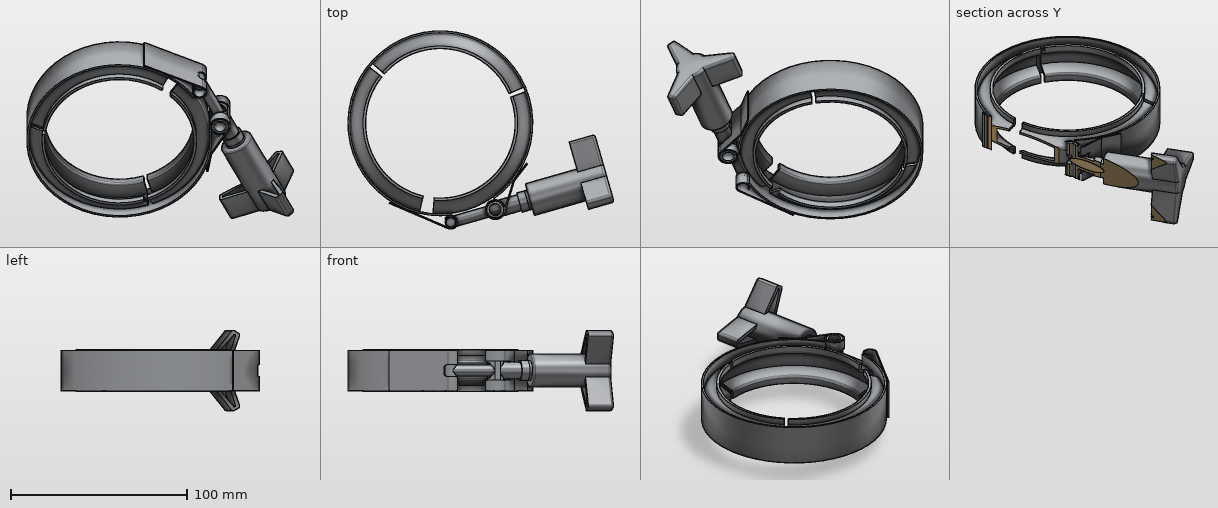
import cadquery as cq
import math

BAND_OUTER_RADIUS = 52.5
BAND_THICKNESS = 1.0
BAND_HALF_HEIGHT = 11.5
BAND_START_ANGLE = -54.5
BAND_END_ANGLE = 277.3

SEGMENT_COUNT = 3
SEGMENT_SPAN = 115.2
SEGMENT_GAP = 3.0
SEGMENT_MIDDLE_ANGLE = 81.0
SEGMENT_OUTER_RADIUS = BAND_OUTER_RADIUS - BAND_THICKNESS
SEGMENT_THICKNESS = 1.5
LIP_INNER_RADIUS = 42.4
LIP_HALF_HEIGHT = 11.9
LIP_ROOT_HEIGHT = 8.5
FLANGE_SLOPE = 22.0
FLANGE_BEND_RADIUS = 1.5

STRAP_THICKNESS = 0.8
PIN_STRAP_TAIL_LENGTH = 8.7
TRUNNION_STRAP_TAIL_LENGTH = 12.0

PIN_POSITION = (5.9, -56.2)
BOLT_ANGLE = 16.0
TRUNNION_DISTANCE = 26.2
PIN_DIAMETER = 6.3
PIN_HALF_LENGTH = 5.5
PIN_CHAMFER = 0.6
ROD_DIAMETER = 6.3
ROD_LENGTH = 63.4
ROD_SLOT_HEIGHT = 6.8
ROD_SLOT_START = -4.2
ROD_SLOT_CORNER_RADIUS = 1.8
PIN_LOOP_OPEN_ANGLE = 150.0

TRUNNION_DIAMETER = 9.5
TRUNNION_LOOP_BORE = 9.8
TRUNNION_BORE = 6.8
ROD_CLEARANCE_BORE = 9.0
SLEEVE_DIAMETER = TRUNNION_DIAMETER
COLLAR_DIAMETER = 11.5
TRUNNION_SLOT_HEIGHT = 10.9
TRUNNION_SLOT_REACH = 5.5
TRUNNION_STRAP_BEND_ANGLE = -37.8

COLLAR_START = 40.6
BOSS_START = 45.1
KNOB_START = 46.6
WING_START = 77.1
KNOB_END = 92.3

KNOB_DIAMETER = 18.9
KNOB_FRONT_FILLET = 0.8
KNOB_END_FILLET = 1.5
WING_COUNT = 3
WING_TIP_RADIUS = 25.3
WING_ROOT_RADIUS = 6.0
WING_TIP_HALF_WIDTH = 2.5
WING_ROOT_HALF_WIDTH = 5.9
WING_TIP_FILLET = 1.5
POCKET_TIP_RADIUS = 23.5
POCKET_TIP_HALF_WIDTH = 0.5
POCKET_ROOT_HALF_WIDTH = 4.0
POCKET_DEPTH = 11.8


def polar(radius, angle):
    """Point at the given radius and angle in degrees."""
    return (radius * math.cos(math.radians(angle)), radius * math.sin(math.radians(angle)))


def moved(point, radius, angle):
    """Point reached from another point by a step of the given length and direction."""
    step = polar(radius, angle)
    return (point[0] + step[0], point[1] + step[1])


def sector(outer_radius, inner_radius, start_angle, end_angle, half_height, center=(0, 0)):
    """Ring sector about a vertical axis, from one angle to a larger one."""
    middle_angle = (start_angle + end_angle) / 2
    return (
        cq.Workplane("XY", origin=(center[0], center[1], -half_height))
        .moveTo(*polar(outer_radius, start_angle))
        .threePointArc(polar(outer_radius, middle_angle), polar(outer_radius, end_angle))
        .lineTo(*polar(inner_radius, end_angle))
        .threePointArc(polar(inner_radius, middle_angle), polar(inner_radius, start_angle))
        .close()
        .extrude(2 * half_height)
    )


def strap_leg(start, end):
    """Flat length of strap whose middle line joins two points."""
    length = math.hypot(end[0] - start[0], end[1] - start[1])
    angle = math.degrees(math.atan2(end[1] - start[1], end[0] - start[0]))
    return (
        cq.Workplane("XY")
        .box(length, STRAP_THICKNESS, 2 * BAND_HALF_HEIGHT)
        .rotate((0, 0, 0), (0, 0, 1), angle)
        .translate(((start[0] + end[0]) / 2, (start[1] + end[1]) / 2, 0))
    )


def along_bolt(shape):
    """Turn a shape built along +X from the origin onto the bolt axis, starting at the hinge pin."""
    return shape.rotate((0, 0, 0), (0, 0, 1), BOLT_ANGLE).translate((*PIN_POSITION, 0))


def rod(diameter, start, end):
    """Round bar along +X between two distances."""
    return cq.Workplane("YZ", origin=(start, 0, 0)).circle(diameter / 2).extrude(end - start)


def upright(diameter, half_length, distance):
    """Vertical bar, centred on Z = 0, crossing the bolt axis at a distance."""
    return cq.Workplane("XY", origin=(distance, 0, -half_length)).circle(diameter / 2).extrude(2 * half_length)


TRUNNION_POSITION = moved(PIN_POSITION, TRUNNION_DISTANCE, BOLT_ANGLE)
STRAP_MIDDLE_RADIUS = BAND_OUTER_RADIUS + STRAP_THICKNESS / 2


def make_band():
    return sector(
        BAND_OUTER_RADIUS, SEGMENT_OUTER_RADIUS, BAND_START_ANGLE, BAND_END_ANGLE, BAND_HALF_HEIGHT
    )


def segment_profile():
    """Radial section: upright outer wall, two sloping flanges and two upright inner lips."""
    slope = math.tan(math.radians(FLANGE_SLOPE))
    lip_outer_radius = LIP_INNER_RADIUS + SEGMENT_THICKNESS
    wall_inner_radius = SEGMENT_OUTER_RADIUS - SEGMENT_THICKNESS
    flange_drop = SEGMENT_THICKNESS / math.cos(math.radians(FLANGE_SLOPE))
    inner_root_height = LIP_ROOT_HEIGHT - flange_drop
    upper_half = [
        (SEGMENT_OUTER_RADIUS, LIP_ROOT_HEIGHT - slope * (SEGMENT_OUTER_RADIUS - lip_outer_radius)),
        (lip_outer_radius, LIP_ROOT_HEIGHT),
        (lip_outer_radius, LIP_HALF_HEIGHT),
        (LIP_INNER_RADIUS, LIP_HALF_HEIGHT),
        (LIP_INNER_RADIUS, inner_root_height + slope * SEGMENT_THICKNESS),
        (wall_inner_radius, inner_root_height - slope * (wall_inner_radius - lip_outer_radius)),
    ]
    lower_half = [(radius, -height) for radius, height in reversed(upper_half)]
    return upper_half + lower_half


def make_segment(middle_angle):
    blank = (
        cq.Workplane("XZ")
        .polyline(segment_profile())
        .close()
        .revolve(SEGMENT_SPAN, (0, 0, 0), (0, 1, 0))
    )
    low = LIP_INNER_RADIUS - SEGMENT_THICKNESS
    outer_corners = [
        edge
        for edge in blank.edges("%CIRCLE").vals()
        if edge.radius() > SEGMENT_OUTER_RADIUS - SEGMENT_THICKNESS / 2
        or (low < edge.radius() < LIP_INNER_RADIUS + 0.2 and abs(edge.Center().z) < LIP_ROOT_HEIGHT)
    ]
    rounded = blank.newObject(outer_corners).fillet(FLANGE_BEND_RADIUS)
    center = rounded.val().Center()
    present_angle = math.degrees(math.atan2(center.y, center.x))
    return rounded.rotate((0, 0, 0), (0, 0, 1), middle_angle - present_angle)


def make_pin_strap():
    """Strap tangent to the band and to the hinge pin, curled round the pin."""
    pin_loop_radius = (PIN_DIAMETER + STRAP_THICKNESS) / 2
    pin_angle = math.degrees(math.atan2(PIN_POSITION[1], PIN_POSITION[0]))
    lean = math.degrees(math.acos((STRAP_MIDDLE_RADIUS - pin_loop_radius) / math.hypot(*PIN_POSITION)))
    touch_angle = pin_angle - lean
    tail_tip = moved(polar(STRAP_MIDDLE_RADIUS, touch_angle), PIN_STRAP_TAIL_LENGTH, touch_angle - 90)
    loop = sector(
        PIN_DIAMETER / 2 + STRAP_THICKNESS,
        PIN_DIAMETER / 2,
        touch_angle,
        PIN_LOOP_OPEN_ANGLE,
        BAND_HALF_HEIGHT,
        PIN_POSITION,
    )
    strap = strap_leg(tail_tip, moved(PIN_POSITION, pin_loop_radius, touch_angle)).union(loop)
    slot_length = 2 * PIN_DIAMETER
    slot = (
        cq.Workplane("XY", origin=(ROD_SLOT_START + slot_length / 2, 0, 0))
        .box(slot_length, slot_length, ROD_SLOT_HEIGHT)
        .faces("<X")
        .edges("|Y")
        .fillet(ROD_SLOT_CORNER_RADIUS)
    )
    return strap.cut(along_bolt(slot))


def make_trunnion_strap():
    """Strap with a tail tangent to the band, bent away to a closed loop round the trunnion."""
    loop_radius = (TRUNNION_LOOP_BORE + STRAP_THICKNESS) / 2
    bend = polar(STRAP_MIDDLE_RADIUS, TRUNNION_STRAP_BEND_ANGLE)
    tail_tip = moved(bend, TRUNNION_STRAP_TAIL_LENGTH, TRUNNION_STRAP_BEND_ANGLE + 90)
    to_bend = (bend[0] - TRUNNION_POSITION[0], bend[1] - TRUNNION_POSITION[1])
    bend_direction = math.degrees(math.atan2(to_bend[1], to_bend[0]))
    tangent_offset = math.degrees(math.acos(loop_radius / math.hypot(*to_bend)))
    loop_touch = moved(TRUNNION_POSITION, loop_radius, bend_direction - tangent_offset)
    bend_round = (
        cq.Workplane("XY", origin=(*bend, -BAND_HALF_HEIGHT))
        .circle(STRAP_THICKNESS / 2)
        .extrude(2 * BAND_HALF_HEIGHT)
    )
    loop = (
        cq.Workplane("XY", origin=(*TRUNNION_POSITION, -BAND_HALF_HEIGHT))
        .circle(TRUNNION_LOOP_BORE / 2 + STRAP_THICKNESS)
        .circle(TRUNNION_LOOP_BORE / 2)
        .extrude(2 * BAND_HALF_HEIGHT)
    )
    strap = strap_leg(tail_tip, bend).union(bend_round).union(strap_leg(bend, loop_touch)).union(loop)
    slot_half_length = 2 * TRUNNION_SLOT_REACH
    slot = cq.Workplane("XY", origin=(TRUNNION_DISTANCE, 0, 0)).box(
        2 * slot_half_length, 2 * TRUNNION_SLOT_REACH, TRUNNION_SLOT_HEIGHT
    )
    return strap.cut(along_bolt(slot))


def make_bolt():
    pin = upright(PIN_DIAMETER, PIN_HALF_LENGTH, 0).faces("<Z or >Z").chamfer(PIN_CHAMFER)
    return along_bolt(pin.union(rod(ROD_DIAMETER, 0, ROD_LENGTH)))


def make_trunnion():
    """Hollow cross pin with a sleeve and collar that carry the bolt rod to the knob."""
    body = (
        upright(TRUNNION_DIAMETER, BAND_HALF_HEIGHT, TRUNNION_DISTANCE)
        .union(rod(SLEEVE_DIAMETER, TRUNNION_DISTANCE, COLLAR_START))
        .union(rod(COLLAR_DIAMETER, COLLAR_START, BOSS_START))
        .cut(upright(TRUNNION_BORE, BAND_HALF_HEIGHT, TRUNNION_DISTANCE))
        .cut(rod(ROD_CLEARANCE_BORE, TRUNNION_DISTANCE - TRUNNION_DIAMETER, TRUNNION_DISTANCE))
        .cut(rod(ROD_DIAMETER, TRUNNION_DISTANCE, BOSS_START))
    )
    return along_bolt(body)


def make_wing(angle):
    """Tapered wing with a rounded tip, pointing along +Y before it is turned about the bolt axis."""
    blank = (
        cq.Workplane("YZ", origin=(WING_START, 0, 0))
        .polyline([
            (WING_ROOT_RADIUS, -WING_ROOT_HALF_WIDTH),
            (WING_TIP_RADIUS, -WING_TIP_HALF_WIDTH),
            (WING_TIP_RADIUS, WING_TIP_HALF_WIDTH),
            (WING_ROOT_RADIUS, WING_ROOT_HALF_WIDTH),
        ])
        .close()
        .extrude(KNOB_END - WING_START)
        .faces(">Y")
        .edges("|X")
        .fillet(WING_TIP_FILLET)
    )
    return blank.rotate((0, 0, 0), (1, 0, 0), angle)


def make_pocket(angle):
    """Tapered recess in the wing face that looks towards the hinge pin."""
    pocket = (
        cq.Workplane("YZ", origin=(WING_START, 0, 0))
        .polyline([
            (WING_ROOT_RADIUS, -POCKET_ROOT_HALF_WIDTH),
            (POCKET_TIP_RADIUS, -POCKET_TIP_HALF_WIDTH),
            (POCKET_TIP_RADIUS, POCKET_TIP_HALF_WIDTH),
            (WING_ROOT_RADIUS, POCKET_ROOT_HALF_WIDTH),
        ])
        .close()
        .extrude(POCKET_DEPTH)
    )
    return pocket.rotate((0, 0, 0), (1, 0, 0), angle)


def make_knob():
    wing_angles = [index * 360 / WING_COUNT for index in range(WING_COUNT)]
    hub = rod(KNOB_DIAMETER, KNOB_START, KNOB_END).faces("<X").edges().fillet(KNOB_FRONT_FILLET)
    wings = rod(KNOB_DIAMETER, WING_START, KNOB_END)
    for angle in wing_angles:
        wings = wings.union(make_wing(angle))
    wings = wings.faces(">X").edges().fillet(KNOB_END_FILLET)
    for angle in wing_angles:
        wings = wings.cut(make_pocket(angle))
    hub = hub.intersect(rod(KNOB_DIAMETER, KNOB_START, KNOB_END - KNOB_END_FILLET))
    body = wings.union(hub).union(rod(COLLAR_DIAMETER, BOSS_START, KNOB_START))
    return along_bolt(body.cut(rod(ROD_DIAMETER, BOSS_START, ROD_LENGTH)))


band = make_band()
segment_pitch = SEGMENT_SPAN + SEGMENT_GAP
segments = [
    make_segment(SEGMENT_MIDDLE_ANGLE + (index - (SEGMENT_COUNT - 1) / 2) * segment_pitch)
    for index in range(SEGMENT_COUNT)
]
pin_strap = make_pin_strap()
trunnion_strap = make_trunnion_strap()
bolt = make_bolt()
trunnion = make_trunnion()
knob = make_knob()

result = cq.Compound.makeCompound([
    band.val(),
    *[segment.val() for segment in segments],
    pin_strap.val(),
    trunnion_strap.val(),
    bolt.val(),
    trunnion.val(),
    knob.val(),
])